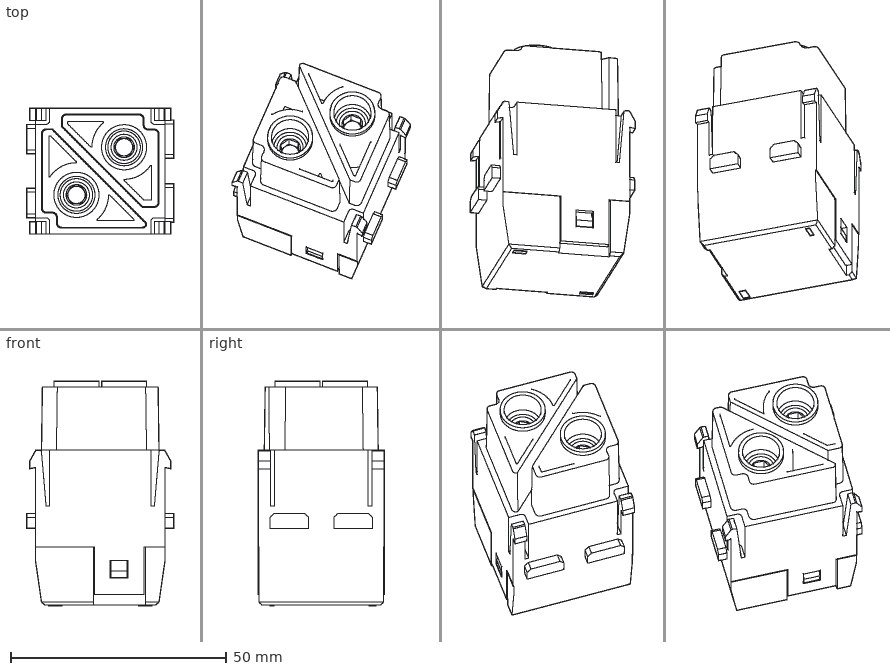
import cadquery as cq
import math

overall_height = 52.2
boss_height = 1.3
towers_top = overall_height - boss_height
body_top = 36.2
shell_top = 13.75
taper_start = 10.6
marking_height = 0.15
body_bottom = marking_height

body_x = 30.15
body_y = 29.3
shell_inset = 0.15
bottom_half_x = 13.55
bottom_chamfer = 0.75

tower_half_x = 13.7
tower_half_y = 13.25
tower_draft = 0.8
lower_end_x = 10.75
lower_end_y = 9.8
upper_end_x = -9.05
upper_end_y = -8.45
gap_offset = 1.3
notch_x = 10.2
notch_y = 9.75
corner_radius = 1.2
notch_radius = 0.95
end_radius = 1.0

contact_offset = 5.55
boss_diameter = 10.5
bore_diameter = 8.6
bore_depth = 5.75
seat_diameter = 7.55
seat_depth = 6.8
socket_rim_diameter = 6.05
socket_entry_diameter = 4.8
socket_entry_depth = 0.65
socket_flats = 4.0
socket_depth = 3.15
drill_point_depth = 1.35

pocket_wall_x = 11.95
pocket_wall_y = 11.5
pocket_arc_radius = 7.45
pocket_gap_offset = 3.4
left_pocket_end = 8.15
top_pocket_end = -7.55
right_pocket_end = -6.7
pocket_rim_radius = 0.35
pocket_radius = 0.15
pocket_depth = towers_top - body_top

arm_slot_bottom = 23.2
cutout_inner_x = 11.75
cutout_inner_y = 10.85
cutout_radius = 0.9
arm_inner_y = 11.75
arm_root_x = 12.6
arm_tip_x = 13.7
arm_crown = 0.15
crown_inner_x = 14.2
crown_outer_x = 14.75
hook_x = 16.4
hook_ramp_bottom = 33.65
hook_bottom = 31.85
hook_undercut_top = 32.1

overall_x = 34.2
rib_reach = overall_x / 2
rib_bottom = 18.0
rib_top = 21.5
rib_chamfer = 0.95
rib_center_y = 7.4
left_rib_length = 6.9
right_rib_length = 9.0

recess_left = -1.55
recess_right = 10.5
recess_depth = 1.55
tab_left = -1.35
tab_right = 10.15
tab_bottom = 2.6
window_left = 2.3
window_right = 6.4
window_bottom = 6.45
window_top = 10.55
window_depth = 1.3
catch_clearance = 0.15
catch_ramp_bottom = 8.15
catch_recess = 0.1

pad_length = 3.15
pad_center_x = 10.5
narrow_pad_y = -11.45
narrow_pad_width = 0.95
wide_pad_y = 11.95
wide_pad_width = 1.6


def box(x_range, y_range, z_range):
    """Box between the given limits."""
    (x0, x1), (y0, y1), (z0, z1) = x_range, y_range, z_range
    return cq.Workplane("XY").box(x1 - x0, y1 - y0, z1 - z0, centered=False).translate((x0, y0, z0))


def half_turn(solid):
    """The same solid turned by 180 degrees about Z."""
    return solid.rotate((0, 0, 0), (0, 0, 1), 180)


def make_body():
    """Main block on a shell whose X faces lean in towards a chamfered bottom."""
    upper = (
        cq.Workplane("XY", origin=(0, 0, shell_top))
        .rect(body_x, body_y)
        .extrude(body_top - shell_top)
    )
    half = body_x / 2
    shell_y = body_y - 2 * shell_inset
    shell = (
        cq.Workplane("XZ")
        .polyline([
            (-half, shell_top), (-half, taper_start), (-bottom_half_x, body_bottom),
            (bottom_half_x, body_bottom), (half, taper_start), (half, shell_top),
        ])
        .close()
        .extrude(shell_y / 2, both=True)
        .faces("<Z").edges().chamfer(bottom_chamfer)
    )
    return upper.union(shell)


def make_tower(outline, rounded_corners):
    """One drafted tower half; rounded_corners holds (corner, radius) pairs."""
    sketch = cq.Sketch().polygon(outline + outline[:1])
    for corner, radius in rounded_corners:
        sketch = sketch.reset().vertices(cq.NearestToPointSelector((*corner, 0))).fillet(radius)
    return (
        cq.Workplane("XY", origin=(0, 0, body_top))
        .placeSketch(sketch.reset())
        .extrude(towers_top - body_top, taper=tower_draft)
    )


def make_pocket(side, outline):
    """Pocket cutter, hollowed towards the contact on the given side (-1 or 1)."""
    center = (side * contact_offset, side * contact_offset)
    sketch = (
        cq.Sketch()
        .polygon(outline + [center, outline[0]])
        .push([center])
        .circle(pocket_arc_radius, mode="s")
        .reset()
    )
    return (
        cq.Workplane("XY", origin=(0, 0, towers_top))
        .placeSketch(sketch)
        .extrude(-pocket_depth)
        .edges("|Z").fillet(pocket_radius)
    )


def make_lower_pockets():
    """Two pockets beside the contact in the -X -Y tower."""
    gap, wall_x, wall_y = pocket_gap_offset, pocket_wall_x, pocket_wall_y
    left = [
        (-wall_x, -contact_offset), (-wall_x, left_pocket_end),
        (-gap - left_pocket_end, left_pocket_end), (-gap, 0),
    ]
    bottom = [(-contact_offset, -wall_y), (wall_y - gap, -wall_y), (0, -gap)]
    return make_pocket(-1, left).union(make_pocket(-1, bottom))


def make_upper_pockets():
    """Two pockets beside the contact in the +X +Y tower."""
    gap, wall_x, wall_y = pocket_gap_offset, pocket_wall_x, pocket_wall_y
    top = [
        (contact_offset, wall_y), (top_pocket_end, wall_y),
        (top_pocket_end, gap - top_pocket_end), (0, gap),
    ]
    right = [
        (wall_x, contact_offset), (wall_x, right_pocket_end),
        (gap - right_pocket_end, right_pocket_end), (gap, 0),
    ]
    return make_pocket(1, top).union(make_pocket(1, right))


def add_pockets(tower, pockets):
    """The tower with its pockets cut and their upper edges rounded."""
    tower = tower.cut(pockets)
    rims = tower.faces(">Z").val().innerWires()
    rim_edges = [edge for rim in rims for edge in rim.Edges()]
    return tower.newObject(rim_edges).fillet(pocket_rim_radius)


def make_towers():
    """Both tower halves; their ends beside the gap are cut back differently."""
    lower = [
        (-tower_half_x, lower_end_y),
        (-gap_offset - lower_end_y, lower_end_y),
        (lower_end_x, -gap_offset - lower_end_x),
        (lower_end_x, -tower_half_y),
        (-notch_x, -tower_half_y),
        (-notch_x, -notch_y),
        (-tower_half_x, -notch_y),
    ]
    upper = [
        (upper_end_x, tower_half_y),
        (upper_end_x, gap_offset - upper_end_x),
        (gap_offset - upper_end_y, upper_end_y),
        (tower_half_x, upper_end_y),
        (tower_half_x, notch_y),
        (notch_x, notch_y),
        (notch_x, tower_half_y),
    ]
    lower_radii = [(lower[3], end_radius), (lower[5], notch_radius)]
    lower_radii += [(lower[i], corner_radius) for i in (0, 4, 6)]
    upper_radii = [(upper[5], notch_radius)]
    upper_radii += [(upper[i], corner_radius) for i in (0, 3, 4, 6)]
    lower_tower = add_pockets(make_tower(lower, lower_radii), make_lower_pockets())
    upper_tower = add_pockets(make_tower(upper, upper_radii), make_upper_pockets())
    return lower_tower.union(upper_tower)


def make_boss(side):
    """Round boss on top of a tower."""
    return (
        cq.Workplane("XY", origin=(side * contact_offset, side * contact_offset, towers_top))
        .circle(boss_diameter / 2)
        .extrude(boss_height)
    )


def make_bore(side):
    """Stepped bore with a hexagon socket and a drill point at its end."""
    bore_z = overall_height - bore_depth
    seat_z = overall_height - seat_depth
    entry_z = seat_z - socket_entry_depth
    socket_z = entry_z - socket_depth
    hexagon_diameter = socket_flats / math.cos(math.pi / 6)
    turned = (
        cq.Workplane("XZ")
        .polyline([
            (0, overall_height), (bore_diameter / 2, overall_height), (bore_diameter / 2, bore_z),
            (seat_diameter / 2, seat_z), (socket_rim_diameter / 2, seat_z),
            (socket_entry_diameter / 2, entry_z), (0, entry_z),
        ])
        .close()
        .revolve(360, (0, 0), (0, 1))
    )
    socket = cq.Workplane("XY", origin=(0, 0, socket_z)).polygon(6, hexagon_diameter).extrude(socket_depth)
    drill_point = (
        cq.Workplane("XZ")
        .polyline([(0, socket_z), (socket_flats / 2, socket_z), (0, socket_z - drill_point_depth)])
        .close()
        .revolve(360, (0, 0), (0, 1))
    )
    bore = turned.union(socket).union(drill_point)
    return bore.translate((side * contact_offset, side * contact_offset, 0))


def make_corner_cutout():
    """Clearance around the latch arm in the +X +Y corner."""
    return (
        box((cutout_inner_x, body_x), (cutout_inner_y, body_y), (arm_slot_bottom, overall_height))
        .edges("|Z and <X and <Y").fillet(cutout_radius)
    )


def make_latch_arm():
    """Wedge-shaped arm with a hook in the +X +Y corner."""
    half = body_x / 2
    return (
        cq.Workplane("XZ", origin=(0, body_y / 2, 0))
        .polyline([
            (arm_root_x, arm_slot_bottom), (arm_tip_x, body_top - arm_crown), (crown_inner_x, body_top),
            (crown_outer_x, body_top), (half, body_top - arm_crown), (hook_x, hook_ramp_bottom),
            (hook_x, hook_bottom), (half, hook_undercut_top), (half, arm_slot_bottom),
        ])
        .close()
        .extrude(body_y / 2 - arm_inner_y)
    )


def in_four_corners(solid):
    """Copies of a +X +Y corner solid in all four corners."""
    right = solid.union(solid.mirror("XZ"))
    return right.union(right.mirror("YZ"))


def make_rib(x_side, y_side, length):
    """Coding rib with chamfered upper corners."""
    rib = (
        box((0, rib_reach), (-length / 2, length / 2), (rib_bottom, rib_top))
        .edges("|X and >Z").chamfer(rib_chamfer)
        .translate((0, y_side * rib_center_y, 0))
    )
    return rib if x_side > 0 else rib.mirror("YZ")


def make_snap_recess():
    """Recess in the shell's -Y face around the snap tab."""
    face = -body_y / 2
    return box((recess_left, recess_right), (face, face + recess_depth), (0, shell_top))


def make_snap_tab():
    """Snap tab on the -Y side, with a ramped catch inside its window."""
    face = -body_y / 2
    back = face + recess_depth
    tab = box((tab_left, tab_right), (face, back), (tab_bottom, shell_top))
    window = box((window_left, window_right), (face, face + window_depth), (window_bottom, window_top))
    catch_width = window_right - window_left - 2 * catch_clearance
    catch_face = face + catch_recess
    catch = (
        cq.Workplane("YZ", origin=(window_left + catch_clearance, 0, 0))
        .polyline([
            (face + window_depth, window_top), (catch_face, catch_ramp_bottom),
            (catch_face, window_bottom + catch_clearance), (back, window_bottom + catch_clearance),
        ])
        .close()
        .extrude(catch_width)
    )
    return tab.cut(window).union(catch)


def make_pad(center_x, center_y, width):
    """Thin marking pad under the bottom face."""
    return (
        cq.Workplane("XY")
        .center(center_x, center_y)
        .rect(pad_length, width)
        .extrude(body_bottom)
    )


result = make_body().cut(in_four_corners(make_corner_cutout())).union(in_four_corners(make_latch_arm()))
result = result.union(make_towers())

for side in (-1, 1):
    result = result.union(make_boss(side)).cut(make_bore(side))

for y_side in (-1, 1):
    result = result.union(make_rib(-1, y_side, left_rib_length))
    result = result.union(make_rib(1, y_side, right_rib_length))

recess = make_snap_recess()
result = result.cut(recess).cut(half_turn(recess))
tab = make_snap_tab()
result = result.union(tab).union(half_turn(tab))

result = result.union(make_pad(-pad_center_x, narrow_pad_y, narrow_pad_width))
result = result.union(make_pad(pad_center_x, wide_pad_y, wide_pad_width))